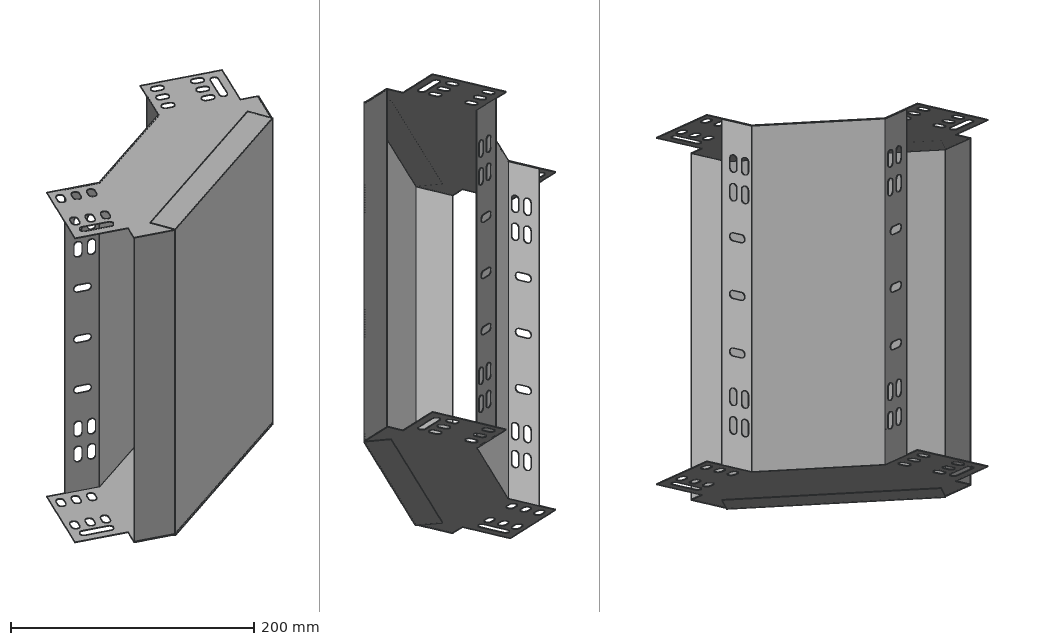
import cadquery as cq
import math


height = 303.2
span = 211.0
sheet = 0.8

leg_length = 45.5
shoulder_start = 46.0
leg_inner = 124.0
leg_outer = 195.3
corner_start = 82.0
web_start = 15.5

flange_width = 23.0

slot_width = 7.0
plate_slot_length = 11.5
plate_slot_along = (8.2, 21.5, 35.0)
plate_slot_across = (136.0, 171.0)
long_slot_length = 29.5
long_slot_along = 22.5
long_slot_across = 184.5

web_slot_length = 15.2
upright_slot_along = (27.0, 38.8)
upright_slot_heights = (88.8, 113.7)
level_slot_along = 31.0
level_slot_pitch = 50.0

tray_half_height = height / 2 - sheet
inside_half_height = tray_half_height - sheet
miter_shift = sheet * math.tan(math.radians(22.5))


def mirrored(point):
    """Reflect a plan point in the line y = x."""
    return (point[1], point[0])


def with_mirror(points):
    """Continue a half outline with its mirror image, walked backwards."""
    return points + [mirrored(point) for point in reversed(points)]


def prism(points, bottom, top):
    """Extrude a closed plan outline between two heights."""
    return cq.Workplane("XY", origin=(0, 0, bottom)).polyline(points).close().extrude(top - bottom)


def strip(outer_half, inner_half, half_height):
    """Upright sheet between two symmetric plan paths, centred on z = 0."""
    outline = with_mirror(outer_half) + with_mirror(inner_half)[::-1]
    return prism(outline, -half_height, half_height)


def mirror_cutter(cutter):
    """Copy a cutter symmetric about z = 0 to the other leg, by a half turn about the line y = x."""
    return cutter.rotate((0, 0, 0), (1, 1, 0), 180)


def plate_slot_cutter():
    """Slots of one leg, through both plates."""
    centers = [(along, across) for along in plate_slot_along for across in plate_slot_across]
    base = cq.Workplane("XY", origin=(0, 0, -height / 2))
    short_slots = base.pushPoints(centers).slot2D(plate_slot_length, slot_width, 90).extrude(height)
    long_slot = (
        base.center(long_slot_along, long_slot_across)
        .slot2D(long_slot_length, slot_width)
        .extrude(height)
    )
    return short_slots.union(long_slot)


def web_slot_cutter():
    """Slots of one web leg, cut along y."""
    upright_centers = [
        (along, side * level)
        for along in upright_slot_along
        for level in upright_slot_heights
        for side in (-1, 1)
    ]
    level_centers = [(level_slot_along, step * level_slot_pitch) for step in (-1, 0, 1)]
    depth = 3 * sheet
    base = cq.Workplane("XZ", origin=(0, leg_inner + 2 * sheet, 0))
    upright_slots = base.pushPoints(upright_centers).slot2D(web_slot_length, slot_width, 90).extrude(depth)
    level_slots = base.pushPoints(level_centers).slot2D(web_slot_length, slot_width).extrude(depth)
    return upright_slots.union(level_slots)


def make_tray():
    """Top and bottom plates joined by the inner web."""
    plate_half = [
        (leg_length, leg_inner),
        (0, leg_inner),
        (0, leg_outer),
        (shoulder_start, leg_outer),
        (shoulder_start, span - sheet),
        (corner_start - miter_shift, span - sheet),
    ]
    web_outer_half = [(web_start, leg_inner), (leg_length, leg_inner)]
    web_inner_half = [(web_start, leg_inner + sheet), (leg_length + miter_shift, leg_inner + sheet)]

    top_plate = prism(with_mirror(plate_half), inside_half_height, tray_half_height)
    bottom_plate = prism(with_mirror(plate_half), -tray_half_height, -inside_half_height)
    web = strip(web_outer_half, web_inner_half, tray_half_height)
    tray = web.union(top_plate).union(bottom_plate)
    for cutter in (plate_slot_cutter(), web_slot_cutter()):
        tray = tray.cut(cutter).cut(mirror_cutter(cutter))
    return tray


def make_cover():
    """Outer wall following the bend, with a flange folded over each plate."""
    wall_outer_half = [(shoulder_start, span), (corner_start, span)]
    wall_inner_half = [(shoulder_start, span - sheet), (corner_start - miter_shift, span - sheet)]
    flange_shift = flange_width * math.sqrt(0.5)
    flange_half = [(corner_start - flange_shift, span - flange_shift), (corner_start, span)]

    wall = strip(wall_outer_half, wall_inner_half, tray_half_height)
    top_flange = prism(with_mirror(flange_half), tray_half_height, height / 2)
    bottom_flange = prism(with_mirror(flange_half), -height / 2, -tray_half_height)
    return wall.union(top_flange).union(bottom_flange)


tray = make_tray()
cover = make_cover()
result = cq.Compound.makeCompound([tray.val(), cover.val()])